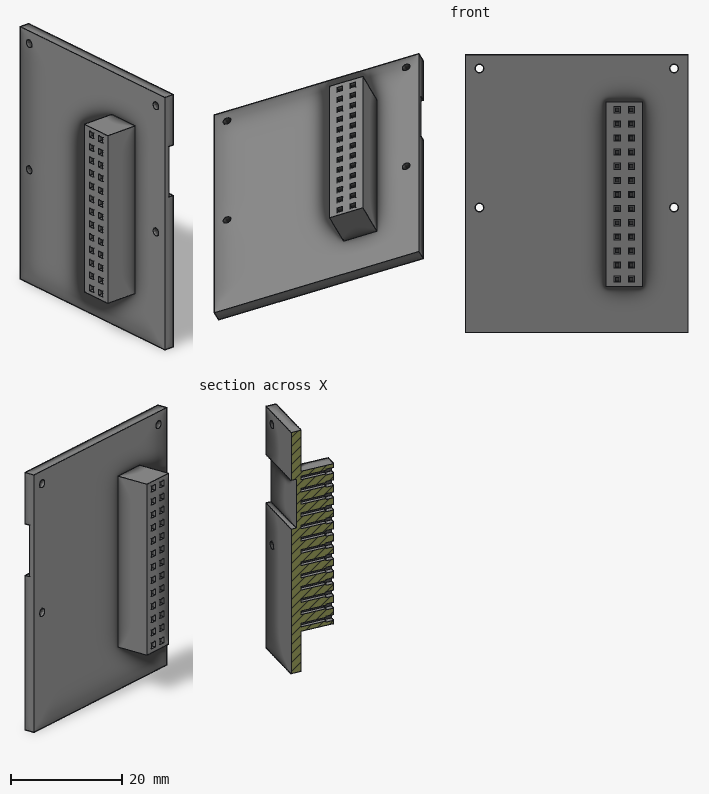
import cadquery as cq

BOARD_WIDTH = 40
BOARD_HEIGHT = 50
BOARD_THICKNESS = 2

HOLE_DIAMETER = 1.5
HOLE_MARGIN = 2.5
HOLE_ROW_SPACING = 25

CHANNEL_HEIGHT = 10
CHANNEL_DEPTH = BOARD_THICKNESS / 2
CHANNEL_TOP_OFFSET = 10

OVERALL_DEPTH = 8.5
HEADER_WIDTH = 6.5
HEADER_HEIGHT = 33.2
HEADER_DEPTH = OVERALL_DEPTH - BOARD_THICKNESS
HEADER_CENTER_X = 8.55
HEADER_CENTER_Z = -0.1

SOCKET_ROWS = 13
SOCKET_COLUMNS = 2
SOCKET_SPAN = 30.45
SOCKET_PITCH = SOCKET_SPAN / (SOCKET_ROWS - 1)
SOCKET_CENTER_Z = -0.15
MOUTH_SIZE = 1.1
MOUTH_DEPTH = 1.5
BORE_SIZE = 0.65


def front_plane(y, x=0, z=0):
    """Plane with local axes along +X and +Z and its normal toward -Y."""
    return cq.Workplane("XZ", origin=(x, y, z))


def make_board():
    return front_plane(BOARD_THICKNESS).rect(BOARD_WIDTH, BOARD_HEIGHT).extrude(BOARD_THICKNESS)


def make_mounting_holes():
    hole_x = BOARD_WIDTH / 2 - HOLE_MARGIN
    upper_z = BOARD_HEIGHT / 2 - HOLE_MARGIN
    centers = [(x, z) for x in (-hole_x, hole_x) for z in (upper_z, upper_z - HOLE_ROW_SPACING)]
    return front_plane(BOARD_THICKNESS).pushPoints(centers).circle(HOLE_DIAMETER / 2).extrude(BOARD_THICKNESS)


def make_channel():
    center_z = BOARD_HEIGHT / 2 - CHANNEL_TOP_OFFSET - CHANNEL_HEIGHT / 2
    return front_plane(BOARD_THICKNESS, z=center_z).rect(BOARD_WIDTH, CHANNEL_HEIGHT).extrude(CHANNEL_DEPTH)


def make_header():
    center = front_plane(0, x=HEADER_CENTER_X, z=HEADER_CENTER_Z)
    return center.rect(HEADER_WIDTH, HEADER_HEIGHT).extrude(HEADER_DEPTH)


def make_square_holes(size, depth):
    """Grid of square holes reaching the given depth behind the front of the header."""
    return (
        front_plane(-HEADER_DEPTH, x=HEADER_CENTER_X, z=SOCKET_CENTER_Z)
        .rarray(SOCKET_PITCH, SOCKET_PITCH, SOCKET_COLUMNS, SOCKET_ROWS)
        .rect(size, size)
        .extrude(-depth)
    )


board = make_board().cut(make_channel()).cut(make_mounting_holes())
header = (
    make_header()
    .cut(make_square_holes(MOUTH_SIZE, MOUTH_DEPTH))
    .cut(make_square_holes(BORE_SIZE, HEADER_DEPTH))
)
result = board.union(header)